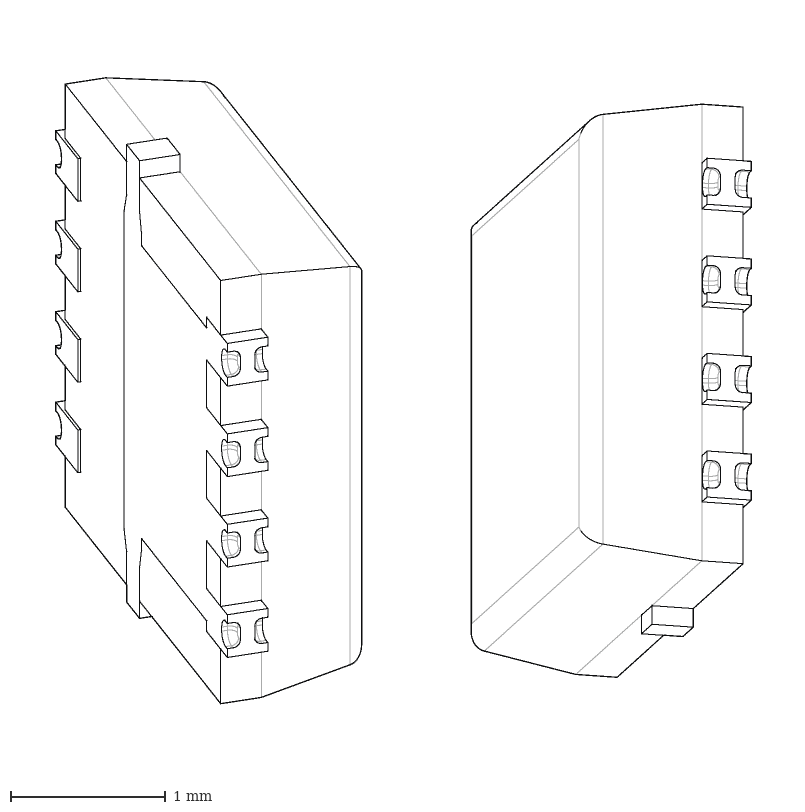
import cadquery as cq
overall_x = 3.31
overall_y = 1.06
overall_z = 3.3
body_side = 3.052
base_height = 0.278
foot_height = 0.02
lid_height = overall_y - foot_height - base_height
lid_draft = 8.0
lid_fillet = 0.142

lead_count = 4
lead_pitch = 0.652
lead_width = 0.308
pin_length = 0.435
lead_end = overall_x / 2
lead_centres = [(i - (lead_count - 1) / 2) * lead_pitch for i in range(lead_count)]

pad_left = -0.37
pad_right = 1.248
pad_half_height = 1.055
bar_left = -0.32
bar_right = -0.065
bar_shoulder = -0.03
flare_inner = 1.145
flare_outer = 1.285

notch_reach = 0.11
notch_width = 0.182
notch_depth = 0.09
notch_corner = 0.075
notch_floor_fillet = 0.05


def plate(outline):
    """Extrude an XZ outline through the thickness of the metal."""
    return outline.extrude(-base_height)


def lead_block(x_inner, x_outer, z_centre):
    """Straight lead between two X positions."""
    outline = cq.Workplane("XZ").center((x_inner + x_outer) / 2, z_centre)
    return plate(outline.rect(abs(x_outer - x_inner), lead_width))


def notch_cutter(side, z_centre, y_floor, y_open):
    """Round-cornered pocket open at the lead end; side is -1 or +1 along X."""
    height = abs(y_open - y_floor)
    cutter = (
        cq.Workplane("XY")
        .box(2 * notch_reach, height, notch_width)
        .edges("|Y")
        .fillet(notch_corner)
        .faces("<Y" if y_floor < y_open else ">Y")
        .edges()
        .fillet(notch_floor_fillet)
    )
    return cutter.translate((side * lead_end, (y_floor + y_open) / 2, z_centre))


def cut_notches(body, side, z_centre, y_bottom):
    """Notch both faces of one lead end."""
    lower = notch_cutter(side, z_centre, notch_depth, y_bottom)
    upper = notch_cutter(side, z_centre, base_height - notch_depth, base_height)
    return body.cut(lower).cut(upper)


def make_pin(z_centre):
    """Separate pin on the -X side, with a foot below the mounting face."""
    block = lead_block(-lead_end, -lead_end + pin_length, z_centre)
    foot = block.faces("<Y").wires().toPending().workplane().extrude(foot_height)
    return cut_notches(foot, -1, z_centre, -foot_height)


def make_tab():
    """Pad, its two tie bars and its four leads on the +X side."""
    upper = [
        (pad_right, pad_half_height),
        (bar_shoulder, pad_half_height),
        (bar_shoulder, flare_inner),
        (bar_right, flare_outer),
        (bar_right, overall_z / 2),
        (bar_left, overall_z / 2),
        (bar_left, flare_outer),
        (pad_left, flare_inner),
    ]
    lower = [(x, -z) for x, z in reversed(upper)]
    tab = plate(cq.Workplane("XZ").polyline(upper + lower).close())
    for z_centre in lead_centres:
        tab = tab.union(lead_block(pad_right, lead_end, z_centre))
    for z_centre in lead_centres:
        tab = cut_notches(tab, 1, z_centre, 0)
    return tab


def make_housing(metal_parts):
    """Moulded body: straight base, drafted lid, and recesses for the metal."""
    base = plate(cq.Workplane("XZ").rect(body_side, body_side))
    lid = (
        cq.Workplane("ZX", origin=(0, base_height, 0))
        .rect(body_side, body_side)
        .extrude(lid_height, taper=lid_draft)
        .faces(">Y")
        .edges()
        .fillet(lid_fillet)
    )
    housing = base.union(lid)
    for part in metal_parts:
        housing = housing.cut(part)
    return housing


pins = [make_pin(z_centre) for z_centre in lead_centres]
tab = make_tab()
housing = make_housing(pins + [tab])

bodies = [housing, tab] + pins
result = cq.Compound.makeCompound([body.solids().val() for body in bodies])